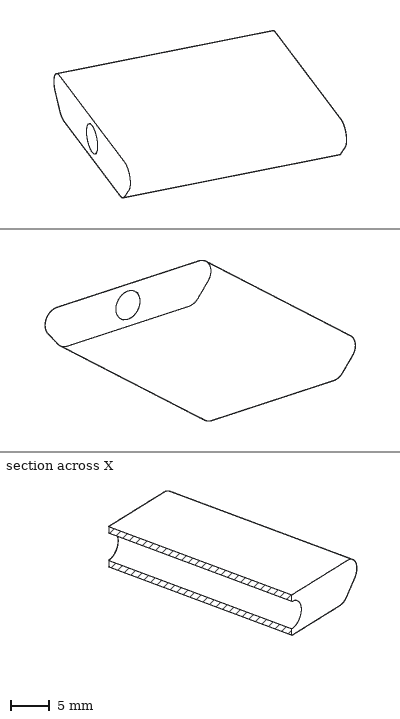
import cadquery as cq
import math

width = 27.45
length = 30.0
height = 6.0
edge_radius = 2.0
side_slope = 40.0
bore_diameter = 4.0

top_corner_angle = math.radians(90.0 - side_slope)
top_tangent_x = width / 2 - edge_radius
top_corner_x = top_tangent_x + edge_radius / math.tan(top_corner_angle / 2)
bottom_corner_x = top_corner_x - height * math.tan(math.radians(side_slope))


def make_body():
    """Trapezoidal bar along Y with its four long edges rounded."""
    outline = [
        (-top_corner_x, height / 2),
        (top_corner_x, height / 2),
        (bottom_corner_x, -height / 2),
        (-bottom_corner_x, -height / 2),
    ]
    bar = cq.Workplane("XZ").polyline(outline).close().extrude(length / 2, both=True)
    return bar.edges("|Y").fillet(edge_radius)


def make_bore():
    """Round hole through the full length, centred in the end faces."""
    return cq.Workplane("XZ").circle(bore_diameter / 2).extrude(length / 2, both=True)


result = make_body().cut(make_bore())